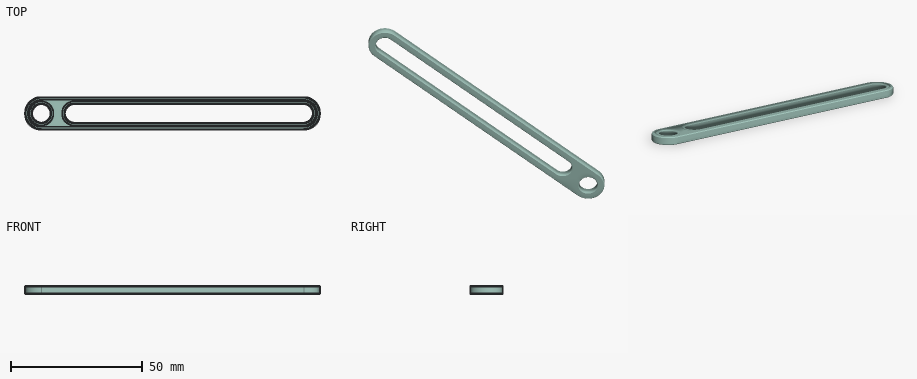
import cadquery as cq

pitch = 12.5
bar_width = pitch
bar_length = 9 * pitch
bar_thickness = pitch / 4
end_x = (bar_length - bar_width) / 2

opening_width = 7.0
hole_x = -end_x
slot_start_x = hole_x + pitch
slot_end_x = end_x
openings = [(hole_x, hole_x), (slot_start_x, slot_end_x)]

bevel = 0.3

recess_depth = 0.2
edge_band = 1.1
rim_width = opening_width + 2 * edge_band
recess_width = bar_width - 2 * edge_band


def rounded_block(start_x, stop_x, width, height):
    """Block standing on the XY plane with round ends centred on start_x and stop_x."""
    outline = cq.Workplane("XY").center((start_x + stop_x) / 2, 0)
    if start_x == stop_x:
        outline = outline.circle(width / 2)
    else:
        outline = outline.slot2D(stop_x - start_x + width, width)
    return outline.extrude(height)


def perforated_block(block_width, hole_width, height):
    """Block as long as the link's centre line, pierced at both openings."""
    block = rounded_block(-end_x, end_x, block_width, height)
    for start_x, stop_x in openings:
        block = block.cut(rounded_block(start_x, stop_x, hole_width, height))
    return block


def bevelled_bar():
    """Bar with both openings and all top and bottom edges bevelled."""
    bar = perforated_block(bar_width, opening_width, bar_thickness)
    return bar.faces("<Z or >Z").chamfer(bevel)


def recess():
    """Material to remove from the top face, leaving the border and the rims standing."""
    pocket = perforated_block(recess_width, rim_width, recess_depth)
    return pocket.translate((0, 0, bar_thickness - recess_depth))


result = bevelled_bar().cut(recess())